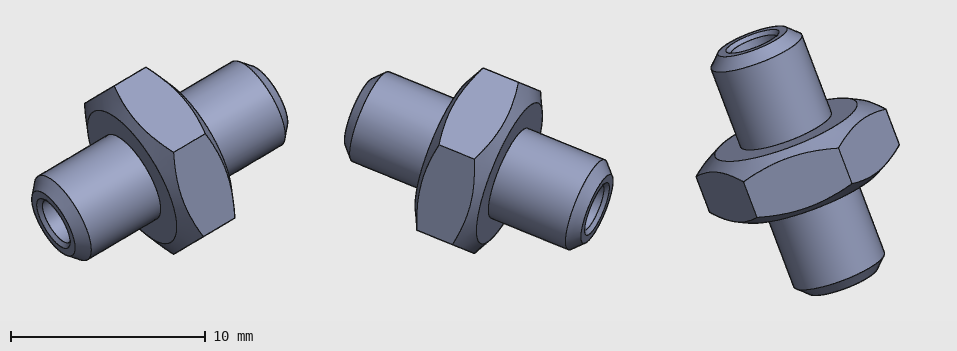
import cadquery as cq
import math

total_length = 13.5
hex_sides = 6
across_flats = 9.0
hex_thickness = 3.51
hex_face_diameter = 7.8
hex_chamfer_angle = 30.0

tube_diameter = 5.0
tube_chamfer = 0.6

bore_diameter = 2.5
bore_mouth_diameter = 2.92
bore_chamfer = (bore_mouth_diameter - bore_diameter) / 2

across_corners = across_flats / math.cos(math.pi / hex_sides)


def cylinder(diameter, length):
    """Cylinder along Y, centred on the origin."""
    return cq.Workplane("XZ").circle(diameter / 2).extrude(length / 2, both=True)


def hex_nut():
    """Hexagon with corners on the X axis, both faces chamfered by a cone."""
    prism = cq.Workplane("XZ").polygon(hex_sides, across_corners).extrude(hex_thickness / 2, both=True)
    corner_radius = across_corners / 2
    face_radius = hex_face_diameter / 2
    half_thickness = hex_thickness / 2
    chamfer_depth = (corner_radius - face_radius) * math.tan(math.radians(hex_chamfer_angle))
    shoulder = half_thickness - chamfer_depth
    chamfer_envelope = (
        cq.Workplane("XY")
        .moveTo(0, -half_thickness)
        .lineTo(face_radius, -half_thickness)
        .lineTo(corner_radius, -shoulder)
        .lineTo(corner_radius, shoulder)
        .lineTo(face_radius, half_thickness)
        .lineTo(0, half_thickness)
        .close()
        .revolve(360, (0, 0, 0), (0, 1, 0))
    )
    return prism.intersect(chamfer_envelope)


def tube():
    """Solid tube body with a chamfer at each outer end."""
    return cylinder(tube_diameter, total_length).edges("%CIRCLE").chamfer(tube_chamfer)


body = tube().union(hex_nut()).cut(cylinder(bore_diameter, total_length))

result = body.faces("<Y or >Y").edges(cq.selectors.RadiusNthSelector(0)).chamfer(bore_chamfer)